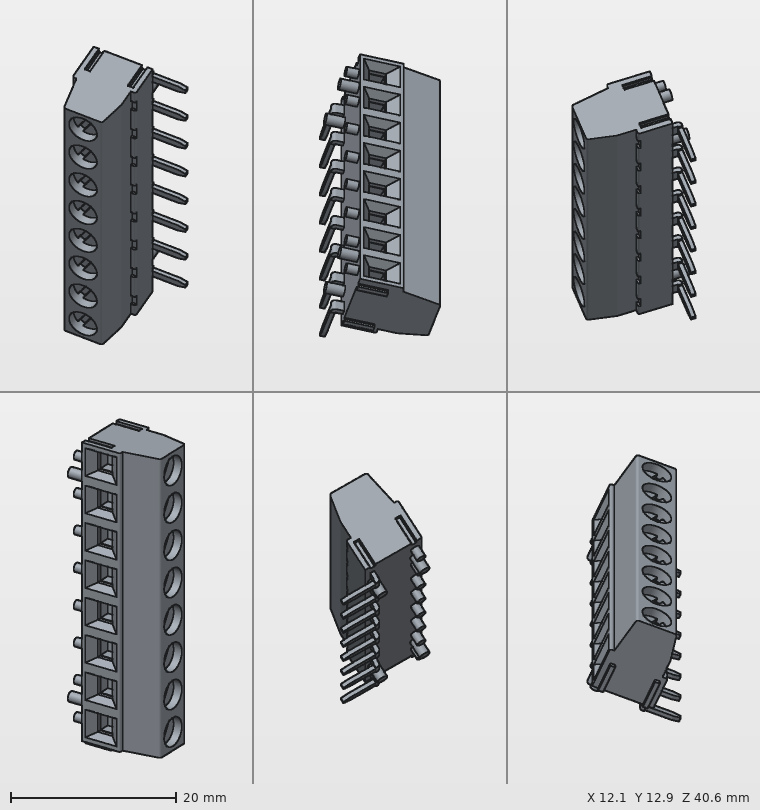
import cadquery as cq

POLES = 8
PITCH = 5.0
BODY_HEIGHT = POLES * PITCH
POLE_CENTERS = [PITCH * (pole + 0.5) for pole in range(POLES)]

BODY_WIDTH = 8.05
BODY_DEPTH = 10.6
LEFT_STEP_Y = 5.0
LEFT_STEP_X = 0.55
FRONT_LEFT_X = 1.4
FRONT_RIGHT_X = 6.65
RIGHT_STEP_X = 7.38
RIGHT_STEP_Y = 6.15
RIGHT_SLOPE_TOP_Y = 3.7
FRONT_FILLET = 0.35
STEP_FILLET = 0.25

SCREW_X = (FRONT_LEFT_X + FRONT_RIGHT_X) / 2
SCREW_DIAMETER = 3.8
SCREW_RECESS = 1.2
DRIVER_SLOT_WIDTH = 0.8
DRIVER_SLOT_DEPTH = 0.5
DRIVER_SLOT_TILT = 30.0

FUNNEL_Y = (5.5, 10.1)
FUNNEL_HEIGHT = 3.7
FUNNEL_DEPTH = 1.2
THROAT_Y = (6.95, 9.1)
THROAT_HEIGHT = 2.62
THROAT_DEPTH = 0.5
CHAMBER_MOUTH_Y = (7.05, 9.02)
CHAMBER_MOUTH_HEIGHT = 2.45
CHAMBER_Y = (7.2, 9.0)
CHAMBER_HEIGHT = 2.4
CHAMBER_DEPTH = 1.5

DOVETAIL_X = (1.1, 6.97)
DOVETAIL_LENGTH = 3.8
DOVETAIL_HEIGHT = 0.6
DOVETAIL_WIDEST_AT = 0.36
DOVETAIL_NECK = 0.55
DOVETAIL_WIDTH = 0.78
DOVETAIL_TIP = 0.6
GROOVE_MOUTH = 0.74
GROOVE_FLOOR = 0.5

PEG_X = (1.0, 7.0)
PEG_END_DISTANCE = PITCH
LOCATING_PEG_DIAMETER = 1.4
LOCATING_PEG_LENGTH = 2.3
SUPPORT_PEG_DIAMETER = 1.2
SUPPORT_PEG_LENGTH = 1.5

PIN_TIP_X = 12.05
PIN_THICKNESS = 0.6
PIN_LEG_X = 6.75
PIN_OUTER_Y = BODY_DEPTH + SUPPORT_PEG_LENGTH
PIN_BEND_RADIUS = 0.5
PIN_LEG_WIDTH = 1.6
PIN_LEG_END_X = 7.45
PIN_WIDTH = 0.95
PIN_POLE_OFFSET = -0.45
PIN_TAPER_LENGTH = 1.0
PIN_TIP_WIDTH = 0.45
PIN_ROOT = 0.5

NOTCH_HEIGHT = 1.48
NOTCH_DEPTH = 0.3


def make_body():
    outline = [
        (FRONT_LEFT_X, 0),
        (FRONT_RIGHT_X, 0),
        (RIGHT_STEP_X, RIGHT_SLOPE_TOP_Y),
        (RIGHT_STEP_X, RIGHT_STEP_Y),
        (BODY_WIDTH, RIGHT_STEP_Y),
        (BODY_WIDTH, BODY_DEPTH),
        (0, BODY_DEPTH),
        (0, LEFT_STEP_Y),
        (LEFT_STEP_X, LEFT_STEP_Y),
    ]
    body = cq.Workplane("XY").polyline(outline).close().extrude(BODY_HEIGHT)
    body = body.edges("|Z and <Y").fillet(FRONT_FILLET)
    left_corner = cq.selectors.NearestToPointSelector((0, LEFT_STEP_Y, BODY_HEIGHT / 2))
    right_corner = cq.selectors.NearestToPointSelector((BODY_WIDTH, RIGHT_STEP_Y, BODY_HEIGHT / 2))
    body = body.edges(left_corner).fillet(STEP_FILLET)
    return body.edges(right_corner).fillet(STEP_FILLET)


def screw_recess(z):
    front = cq.Workplane("XZ", origin=(SCREW_X, 0, z))
    bore = front.circle(SCREW_DIAMETER / 2).extrude(-SCREW_RECESS)
    total_depth = SCREW_RECESS + DRIVER_SLOT_DEPTH
    slot = (
        front.transformed(rotate=(0, 0, -DRIVER_SLOT_TILT))
        .rect(DRIVER_SLOT_WIDTH, SCREW_DIAMETER)
        .extrude(-total_depth)
    )
    disc = front.circle(SCREW_DIAMETER / 2).extrude(-total_depth)
    return bore.union(slot.intersect(disc))


def taper(x_start, x_end, start_y, start_height, end_y, end_height, z):
    """Rectangular frustum running along X."""
    start_width = start_y[1] - start_y[0]
    end_width = end_y[1] - end_y[0]
    shift = (sum(end_y) - sum(start_y)) / 2
    return (
        cq.Workplane("YZ", origin=(x_start, sum(start_y) / 2, z))
        .rect(start_width, start_height)
        .workplane(offset=x_end - x_start)
        .center(shift, 0)
        .rect(end_width, end_height)
        .loft(ruled=True)
    )


def wire_entry(z):
    throat_start = FUNNEL_DEPTH
    throat_end = throat_start + THROAT_DEPTH
    chamber_end = throat_end + CHAMBER_DEPTH
    funnel = taper(0, throat_start, FUNNEL_Y, FUNNEL_HEIGHT, THROAT_Y, THROAT_HEIGHT, z)
    throat = taper(throat_start, throat_end, THROAT_Y, THROAT_HEIGHT, THROAT_Y, THROAT_HEIGHT, z)
    chamber = taper(
        throat_end, chamber_end, CHAMBER_MOUTH_Y, CHAMBER_MOUTH_HEIGHT, CHAMBER_Y, CHAMBER_HEIGHT, z
    )
    return funnel.union(throat).union(chamber)


def dovetail_bar(x, top_z, top_width, bottom_width):
    """Bar along Y at the back of the body, widest part way down, hanging from top_z."""
    half_outline = [
        (top_width / 2, 0),
        (DOVETAIL_WIDTH / 2, -DOVETAIL_WIDEST_AT),
        (bottom_width / 2, -DOVETAIL_HEIGHT),
    ]
    mirrored = [(-u, v) for u, v in reversed(half_outline)]
    return (
        cq.Workplane("XZ", origin=(x, BODY_DEPTH, top_z))
        .polyline(half_outline + mirrored)
        .close()
        .extrude(DOVETAIL_LENGTH)
    )


def peg(x, z, diameter, length):
    return cq.Workplane("XZ", origin=(x, BODY_DEPTH, z)).circle(diameter / 2).extrude(-length)


def solder_pin(pole_z):
    """Wide leg out of the back face, bent toward +X into a narrower tapered pin."""
    z = pole_z + PIN_POLE_OFFSET
    inner_y = PIN_OUTER_Y - PIN_THICKNESS
    leg = (
        cq.Workplane("XY", origin=(0, 0, z - PIN_LEG_WIDTH / 2))
        .moveTo(PIN_LEG_X, BODY_DEPTH - PIN_ROOT)
        .lineTo(PIN_LEG_X, PIN_OUTER_Y - PIN_BEND_RADIUS)
        .radiusArc((PIN_LEG_X + PIN_BEND_RADIUS, PIN_OUTER_Y), PIN_BEND_RADIUS)
        .lineTo(PIN_LEG_END_X, PIN_OUTER_Y)
        .lineTo(PIN_LEG_END_X, inner_y)
        .lineTo(PIN_LEG_X + PIN_THICKNESS, inner_y)
        .lineTo(PIN_LEG_X + PIN_THICKNESS, BODY_DEPTH - PIN_ROOT)
        .close()
        .extrude(PIN_LEG_WIDTH)
    )
    taper_x = PIN_TIP_X - PIN_TAPER_LENGTH
    blade = (
        cq.Workplane("XZ", origin=(0, inner_y, z))
        .polyline([
            (PIN_LEG_END_X, -PIN_WIDTH / 2),
            (taper_x, -PIN_WIDTH / 2),
            (PIN_TIP_X, -PIN_TIP_WIDTH / 2),
            (PIN_TIP_X, PIN_TIP_WIDTH / 2),
            (taper_x, PIN_WIDTH / 2),
            (PIN_LEG_END_X, PIN_WIDTH / 2),
        ])
        .close()
        .extrude(-PIN_THICKNESS)
    )
    return leg.union(blade)


def step_notch(z):
    notch_start = cq.Workplane("XY", origin=(RIGHT_STEP_X, RIGHT_STEP_Y, z))
    notch_width = BODY_WIDTH - RIGHT_STEP_X
    return notch_start.box(notch_width, NOTCH_DEPTH, NOTCH_HEIGHT, centered=(False, False, True))


result = make_body()
for pole_z in POLE_CENTERS:
    result = result.cut(screw_recess(pole_z))
    result = result.cut(wire_entry(pole_z))
    result = result.cut(step_notch(pole_z))
    result = result.union(peg(PEG_X[0], pole_z, SUPPORT_PEG_DIAMETER, SUPPORT_PEG_LENGTH))
    result = result.union(solder_pin(pole_z))
for x in PEG_X:
    for peg_z in (PEG_END_DISTANCE, BODY_HEIGHT - PEG_END_DISTANCE):
        result = result.union(peg(x, peg_z, LOCATING_PEG_DIAMETER, LOCATING_PEG_LENGTH))
for x in DOVETAIL_X:
    result = result.cut(dovetail_bar(x, BODY_HEIGHT, GROOVE_MOUTH, GROOVE_FLOOR))
    result = result.union(dovetail_bar(x, 0, DOVETAIL_NECK, DOVETAIL_TIP))